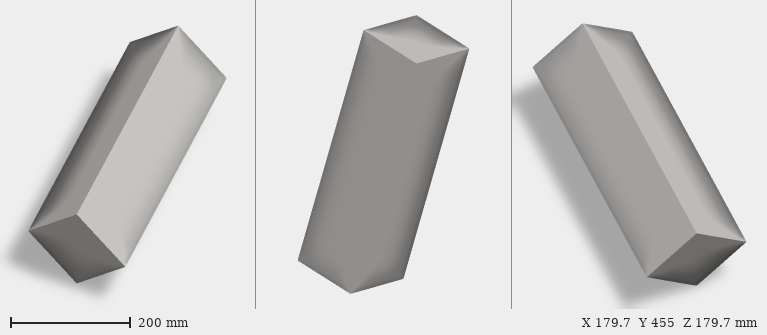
import cadquery as cq

overall_length = 455.0
diagonal = 179.7
end_slant = 10.5

half_length = overall_length / 2
half_diagonal = diagonal / 2

bar = (
    cq.Workplane("XZ")
    .polyline([(-half_diagonal, 0), (0, -half_diagonal), (half_diagonal, 0), (0, half_diagonal)])
    .close()
    .extrude(half_length, both=True)
)

slanted_plan = (
    cq.Workplane("XY")
    .polyline([
        (-half_diagonal, half_length),
        (half_diagonal, half_length - end_slant),
        (half_diagonal, -half_length),
        (-half_diagonal, end_slant - half_length),
    ])
    .close()
    .extrude(half_diagonal, both=True)
)

result = bar.intersect(slanted_plan)